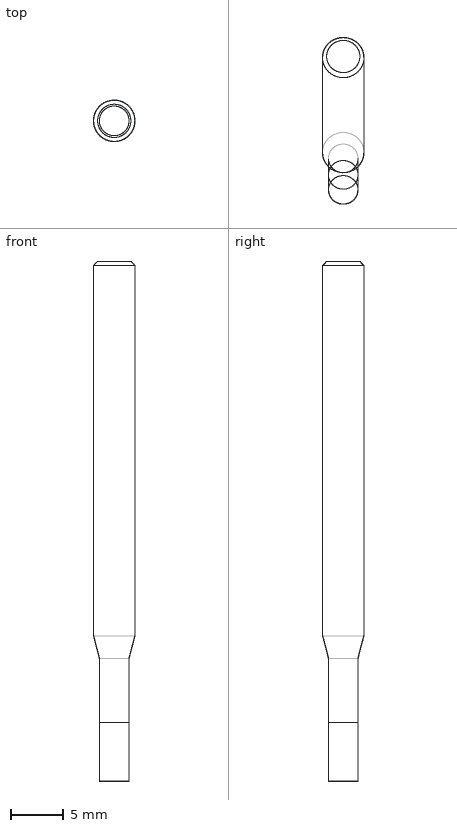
import cadquery as cq

total_length = 50.0
shank_diameter = 4.0
neck_diameter = 2.85

cutter_length = 5.65
neck_top = 11.8
taper_top = 14.0

chamfer_height = 0.4
chamfer_width = 0.4

shank_radius = shank_diameter / 2
neck_radius = neck_diameter / 2


def make_cutter():
    """Plain cylindrical cutting head at the bottom end."""
    return cq.Workplane("XY").circle(neck_radius).extrude(cutter_length)


def make_shank():
    """Neck, taper and chamfered shank, revolved about Z as one body."""
    profile = (
        cq.Workplane("XZ")
        .moveTo(0, cutter_length)
        .lineTo(neck_radius, cutter_length)
        .lineTo(neck_radius, neck_top)
        .lineTo(shank_radius, taper_top)
        .lineTo(shank_radius, total_length - chamfer_height)
        .lineTo(shank_radius - chamfer_width, total_length)
        .lineTo(0, total_length)
        .close()
    )
    return profile.revolve(360, (0, 0), (0, 1))


cutter = make_cutter()
shank = make_shank()

result = cq.Compound.makeCompound([cutter.val(), shank.val()])